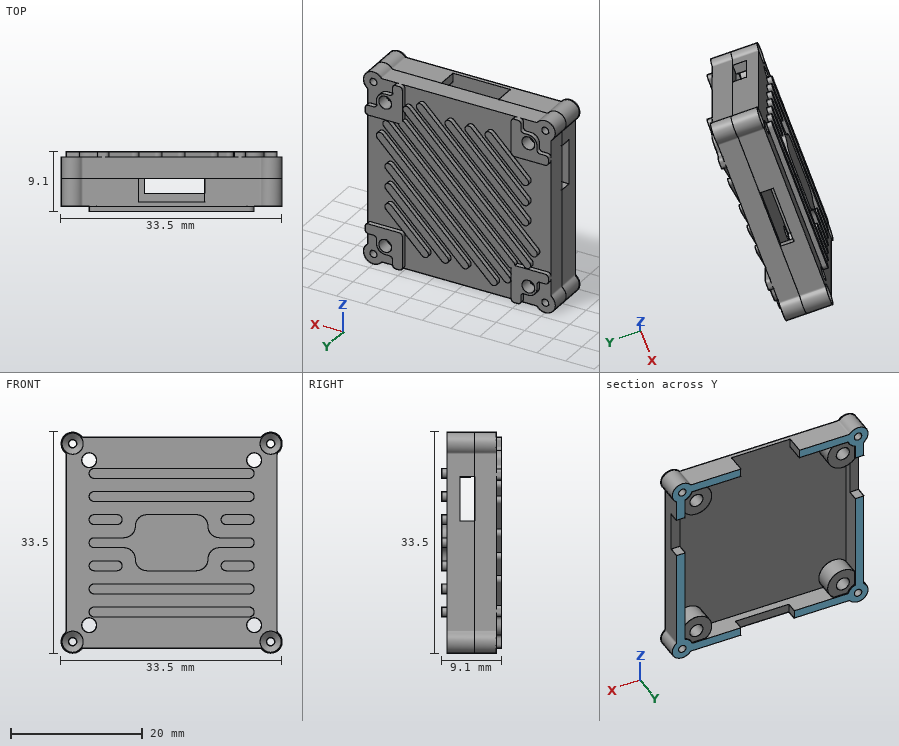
import cadquery as cq
import math


side = 32.0
half_side = side / 2
front_thickness = 4.2
back_thickness = 3.3
raised_height = 0.8
wall = 1.5
front_floor = 0.7
back_floor = 1.5

post_offset = 15.0
post_radius = 1.75
post_blend_radius = 0.4
screw_hole_diameter = 1.2
countersink_diameter = 3.2
countersink_angle = 90.0

mount_offset = 12.5
mount_hole_diameter = 2.2
boss_radius = 2.6
boss_setback = 0.6

top_port_left, top_port_right, top_port_depth = -5.0, 5.0, 3.5
bottom_port_left, bottom_port_right = -4.1, 5.0
left_port_bottom, left_port_top = 3.3, 11.0
right_port_bottom, right_port_top = 3.3, 10.0
shallow_port_depth = 2.2

front_rib_length = 25.0
front_rib_width = 1.5
front_rib_pitch = 3.5
short_rib_length = 5.0
panel_half_width = 5.5
panel_arc_radius = front_rib_pitch / 2

pad_inner = 9.5
pad_outer_radius = 1.5
pad_outer = mount_offset + pad_outer_radius
tab_width = 1.7
pad_fillet = 0.55

back_rib_width = 1.3
back_rib_pitch = front_rib_pitch / math.sqrt(2)
outer_rib_end_z = 11.9
back_rib_end_z = [pad_inner, 12.25, 13.4, outer_rib_end_z, outer_rib_end_z, outer_rib_end_z]

tolerance = 1e-3

post_points = [(x, z) for x in (-post_offset, post_offset) for z in (-post_offset, post_offset)]
mount_points = [(x, z) for x in (-mount_offset, mount_offset) for z in (-mount_offset, mount_offset)]


def plane_at(y):
    """Sketch plane facing -Y: sketch x is X, sketch y is Z, and extrusions grow towards -Y."""
    return cq.Workplane("XZ", origin=(0, y, 0))


def discs(points, radius, y_start, length):
    return plane_at(y_start).pushPoints(points).circle(radius).extrude(length)


def case_block(y_start, thickness):
    """Square plate with four round posts, blended where each post meets a side."""
    block = plane_at(y_start).rect(side, side).extrude(thickness)
    block = block.union(discs(post_points, post_radius, y_start, thickness))

    def on_side_face(edge):
        center = edge.Center()
        return abs(max(abs(center.x), abs(center.z)) - half_side) < tolerance

    return block.edges("|Y").filter(on_side_face).fillet(post_blend_radius)


def cavity(y_start, depth):
    """Interior space, leaving the walls and the posts solid."""
    inner_side = side - 2 * wall
    space = plane_at(y_start).rect(inner_side, inner_side).extrude(depth)
    return space.cut(discs(post_points, post_radius, y_start, depth))


def wall_port(x_start, x_end, z_start, z_end, depth):
    """Box from the joint into the front shell."""
    return cq.Workplane("XY").box(
        x_end - x_start, depth, z_end - z_start, centered=False
    ).translate((x_start, -depth, z_start))


def front_ribs():
    """Seven rows of round-ended ribs, the middle three interrupted by a flared panel."""
    start = plane_at(-front_thickness)
    full_rows = [(0, row * front_rib_pitch) for row in (-3, -2, 0, 2, 3)]
    ribs = start.pushPoints(full_rows).slot2D(front_rib_length, front_rib_width).extrude(raised_height)

    short_x = (front_rib_length - short_rib_length) / 2
    short_points = [(x, z) for x in (-short_x, short_x) for z in (-front_rib_pitch, front_rib_pitch)]
    ribs = ribs.union(
        start.pushPoints(short_points).slot2D(short_rib_length, front_rib_width).extrude(raised_height)
    )
    return ribs.union(flared_panel(start))


def flared_panel(start):
    """Panel whose rounded ends curve out into the middle rib."""
    waist = front_rib_width / 2
    middle = waist + panel_arc_radius
    top = middle + panel_arc_radius
    narrow = panel_half_width - panel_arc_radius
    wide = panel_half_width + panel_arc_radius
    r = panel_arc_radius
    return (
        start.moveTo(-wide, waist)
        .radiusArc((-panel_half_width, middle), -r)
        .radiusArc((-narrow, top), r)
        .lineTo(narrow, top)
        .radiusArc((panel_half_width, middle), r)
        .radiusArc((wide, waist), -r)
        .lineTo(wide, -waist)
        .radiusArc((panel_half_width, -middle), -r)
        .radiusArc((narrow, -top), r)
        .lineTo(-narrow, -top)
        .radiusArc((-panel_half_width, -middle), r)
        .radiusArc((-wide, -waist), -r)
        .close()
        .extrude(raised_height)
    )


def corner_pad():
    """Raised pad around the mounting hole in the +X +Z corner."""
    tab_end = pad_inner + tab_width
    pad = (
        plane_at(back_thickness + raised_height)
        .moveTo(pad_inner, pad_inner)
        .lineTo(half_side, pad_inner)
        .lineTo(half_side, tab_end)
        .lineTo(pad_outer, tab_end)
        .lineTo(pad_outer, mount_offset)
        .radiusArc((mount_offset, pad_outer), -pad_outer_radius)
        .lineTo(tab_end, pad_outer)
        .lineTo(tab_end, half_side)
        .lineTo(pad_inner, half_side)
        .close()
        .extrude(raised_height)
    )

    def is_sharp_corner(edge):
        center = edge.Center()
        distance = math.hypot(center.x - mount_offset, center.z - mount_offset)
        return abs(distance - pad_outer_radius) > tolerance

    return pad.edges("|Y").filter(is_sharp_corner).fillet(pad_fillet)


def diagonal_rib(offset, half_length):
    """Round-ended rib at 45 degrees, moved sideways by the offset towards -X +Z."""
    shift = offset / math.sqrt(2)
    return (
        plane_at(back_thickness + raised_height)
        .center(-shift, shift)
        .slot2D(2 * half_length + back_rib_width, back_rib_width, 45)
        .extrude(raised_height)
    )


def make_front_shell():
    shell = case_block(0, front_thickness)
    shell = shell.cut(cavity(0, front_thickness - front_floor))

    boss_length = front_thickness - boss_setback
    bosses = discs(mount_points, boss_radius, -boss_setback, boss_length)
    shell = shell.union(bosses)

    inner = half_side - wall
    ports = [
        wall_port(top_port_left, top_port_right, inner, half_side, top_port_depth),
        wall_port(bottom_port_left, bottom_port_right, -half_side, -inner, shallow_port_depth),
        wall_port(-half_side, -inner, left_port_bottom, left_port_top, shallow_port_depth),
        wall_port(inner, half_side, right_port_bottom, right_port_top, shallow_port_depth),
    ]
    for port in ports:
        shell = shell.cut(port)

    shell = shell.union(front_ribs())
    shell = shell.cut(discs(mount_points, mount_hole_diameter / 2, 0, front_thickness))
    return shell.cut(countersunk_holes())


def countersunk_holes():
    """Screw holes through the front posts, opening into cones at the front face."""
    holes = discs(post_points, screw_hole_diameter / 2, 0, front_thickness)
    slope = math.tan(math.radians(countersink_angle / 2))
    cone_depth = (countersink_diameter - screw_hole_diameter) / 2 / slope
    for x, z in post_points:
        cone = cq.Solid.makeCone(
            countersink_diameter / 2,
            screw_hole_diameter / 2,
            cone_depth,
            pnt=cq.Vector(x, -front_thickness, z),
            dir=cq.Vector(0, 1, 0),
        )
        holes = holes.union(cq.Workplane(cone))
    return holes


def make_back_shell():
    shell = case_block(back_thickness, back_thickness)
    cavity_depth = back_thickness - back_floor
    shell = shell.cut(cavity(cavity_depth, cavity_depth))

    pad = corner_pad()
    for quarter in range(4):
        shell = shell.union(pad.rotate((0, 0, 0), (0, 1, 0), 90 * quarter))

    for step, end_z in enumerate(back_rib_end_z):
        offset = step * back_rib_pitch
        half_length = end_z * math.sqrt(2) - offset
        shell = shell.union(diagonal_rib(offset, half_length))
        if step > 0:
            shell = shell.union(diagonal_rib(-offset, half_length))

    hole_start = back_thickness + raised_height
    shell = shell.cut(discs(mount_points, mount_hole_diameter / 2, hole_start, hole_start))
    return shell.cut(discs(post_points, screw_hole_diameter / 2, hole_start, hole_start))


front_shell = make_front_shell()
back_shell = make_back_shell()

result = cq.Compound.makeCompound([front_shell.val(), back_shell.val()])